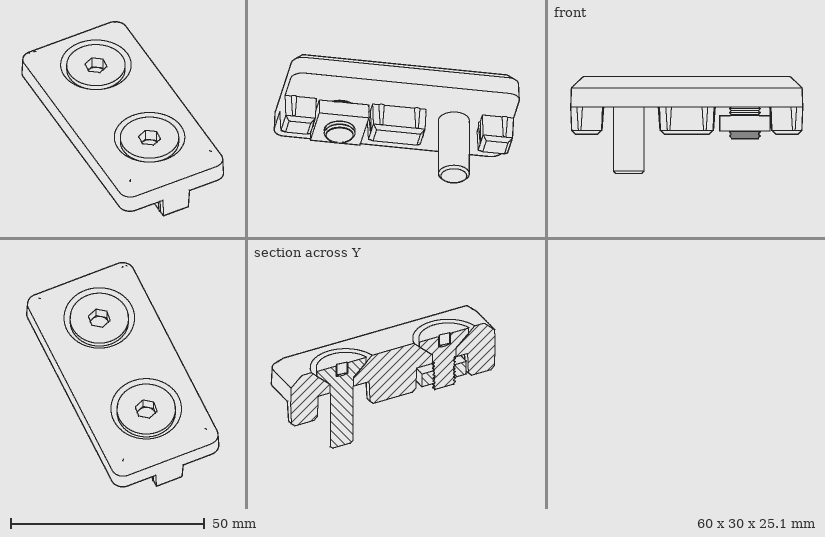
import cadquery as cq
import math

PLATE_LENGTH = 60.0
PLATE_WIDTH = 30.0
PLATE_HEIGHT = 8.0
PLATE_DRAFT = 2.0
CORNER_RADIUS = 3.1
TOP_CHAMFER = 3.0
TOP_EDGE_RADIUS = 1.0

SCREW_SPACING = 30.0
SHANK_DIAMETER = 8.0
COUNTERSINK_RADIUS = 9.1
HEAD_RADIUS = 7.55
HEAD_RECESS = 0.1
LONG_SCREW_LENGTH = 25.0
SHORT_SCREW_LENGTH = 16.0
TIP_CHAMFER = 0.65
HEX_SIDES = 6
HEX_ACROSS_FLATS = 5.0
HEX_DEPTH = 3.25
HEX_TURN = -6.5
DRILL_POINT_ANGLE = 120.0

THREAD_LENGTH = 8.05
THREAD_DEPTH = 0.5
THREAD_RIDGES = 8
THREAD_TIP_LENGTH = 0.25

NUT_SIDE = 13.0
NUT_HEIGHT = 4.0
NUT_TOP_Z = -2.15

TAB_WIDTH = 7.75
TAB_HEIGHT = 7.0
TAB_CHAMFER = 1.0
TAB_DRAFT_INSET = 0.25
MIDDLE_TAB_LENGTH = 14.05
END_TAB_LENGTH = 8.2

RIB_TOP_RADIUS = 0.9
RIB_BOTTOM_RADIUS = 0.45
RIB_AXIS_INSET = 0.55
RIB_END_DISTANCE = 2.35

SCREW_X = SCREW_SPACING / 2
SHANK_RADIUS = SHANK_DIAMETER / 2
THREAD_PITCH = THREAD_LENGTH / THREAD_RIDGES
HEAD_TOP_Z = PLATE_HEIGHT - HEAD_RECESS
SEAT_RADIUS_AT_HEAD_TOP = COUNTERSINK_RADIUS - HEAD_RECESS
HEAD_EDGE_Z = HEAD_TOP_Z - (SEAT_RADIUS_AT_HEAD_TOP - HEAD_RADIUS)
NECK_Z = PLATE_HEIGHT - (COUNTERSINK_RADIUS - SHANK_RADIUS)
TAB_STRAIGHT_HEIGHT = TAB_HEIGHT - TAB_CHAMFER


def revolve_profile(points):
    """Solid of revolution about Z from (radius, z) points."""
    return cq.Workplane("XZ").polyline(points).close().revolve(360, (0, 0, 0), (0, 1, 0))


def make_plate_block():
    """Drafted block with round corners, a wide top chamfer and mitred top edge rounds."""
    block = (
        cq.Workplane("XY")
        .rect(PLATE_LENGTH, PLATE_WIDTH)
        .extrude(PLATE_HEIGHT, taper=PLATE_DRAFT)
        .edges("not (#Z)")
        .fillet(CORNER_RADIUS)
        .faces(">Z")
        .edges()
        .chamfer(TOP_CHAMFER)
    )
    draft_inset = PLATE_HEIGHT * math.tan(math.radians(PLATE_DRAFT))
    top_inset = draft_inset + TOP_CHAMFER
    roof_angle = 45 + PLATE_DRAFT / 2
    roof_inset = top_inset - PLATE_HEIGHT * math.tan(math.radians(roof_angle))
    roof = (
        cq.Workplane("XY")
        .rect(PLATE_LENGTH - 2 * roof_inset, PLATE_WIDTH - 2 * roof_inset)
        .extrude(PLATE_HEIGHT, taper=roof_angle)
        .faces(">Z")
        .edges()
        .fillet(TOP_EDGE_RADIUS)
    )
    return block.intersect(roof)


def make_rib(x, y):
    """Upright tapered rib, narrowing downwards from the underside of the plate."""
    rib = cq.Solid.makeCone(
        RIB_TOP_RADIUS, RIB_BOTTOM_RADIUS, TAB_STRAIGHT_HEIGHT, cq.Vector(x, y, 0), cq.Vector(0, 0, -1)
    )
    return cq.Workplane(rib)


def make_tab(center_x, length):
    """Drafted tab with a chamfered lower end."""
    bottom_length = length - 2 * TAB_DRAFT_INSET
    bottom_width = TAB_WIDTH - 2 * TAB_DRAFT_INSET
    upper = (
        cq.Workplane("XY")
        .center(center_x, 0)
        .rect(length, TAB_WIDTH)
        .workplane(offset=-TAB_STRAIGHT_HEIGHT)
        .rect(bottom_length, bottom_width)
        .loft(ruled=True)
    )
    lower = (
        cq.Workplane("XY")
        .workplane(offset=-TAB_STRAIGHT_HEIGHT)
        .center(center_x, 0)
        .rect(bottom_length, bottom_width)
        .workplane(offset=-TAB_CHAMFER)
        .rect(bottom_length - 2 * TAB_CHAMFER, bottom_width - 2 * TAB_CHAMFER)
        .loft(ruled=True)
    )
    return upper.union(lower)


def make_middle_tab():
    """Centre tab with one rib on each end and two on each side."""
    tab = make_tab(0, MIDDLE_TAB_LENGTH)
    half_length = MIDDLE_TAB_LENGTH / 2
    side_rib_x = half_length - RIB_END_DISTANCE
    side_rib_y = TAB_WIDTH / 2 - RIB_AXIS_INSET
    for side in (-1, 1):
        tab = tab.union(make_rib(side * (half_length - RIB_AXIS_INSET), 0))
        for rib_x in (-side_rib_x, side_rib_x):
            tab = tab.union(make_rib(rib_x, side * side_rib_y))
    return tab


def make_end_tab(end):
    """Tab flush with one end of the plate; end is -1 or 1."""
    outer_x = PLATE_LENGTH / 2
    inner_x = outer_x - END_TAB_LENGTH
    tab = make_tab(end * (outer_x + inner_x) / 2, END_TAB_LENGTH)
    tab = tab.union(make_rib(end * (inner_x + RIB_AXIS_INSET), 0))
    side_rib_y = TAB_WIDTH / 2 - RIB_AXIS_INSET
    for rib_y in (-side_rib_y, side_rib_y):
        tab = tab.union(make_rib(end * (outer_x - RIB_END_DISTANCE), rib_y))
    return tab


def make_screw_hole(x):
    """Cutter for a through hole with a 90 degree countersink."""
    cutter = revolve_profile(
        [
            (0, 0),
            (SHANK_RADIUS, 0),
            (SHANK_RADIUS, NECK_Z),
            (COUNTERSINK_RADIUS, PLATE_HEIGHT),
            (0, PLATE_HEIGHT),
        ]
    )
    return cutter.translate((x, 0, 0))


def make_plate():
    """Plate with its three tabs and two screw holes."""
    plate = make_plate_block().union(make_middle_tab())
    for end in (-1, 1):
        plate = plate.union(make_end_tab(end))
        plate = plate.cut(make_screw_hole(end * SCREW_X))
    return plate


def make_hex_socket():
    """Cutter for the hexagon socket with its conical drill point."""
    flat_radius = HEX_ACROSS_FLATS / 2
    point_depth = flat_radius / math.tan(math.radians(DRILL_POINT_ANGLE / 2))
    socket_floor_z = HEAD_TOP_Z - HEX_DEPTH
    corner_diameter = HEX_ACROSS_FLATS / math.cos(math.pi / HEX_SIDES)
    hexagon = (
        cq.Workplane("XY")
        .workplane(offset=socket_floor_z)
        .transformed(rotate=(0, 0, HEX_TURN))
        .polygon(HEX_SIDES, corner_diameter)
        .extrude(HEX_DEPTH)
    )
    drill_point = revolve_profile(
        [
            (0, socket_floor_z),
            (flat_radius, socket_floor_z),
            (0, socket_floor_z - point_depth),
        ]
    )
    return hexagon.union(drill_point)


def make_screw(x, shank_points):
    """Countersunk screw; shank_points run from the tip up to the neck under the head."""
    head_points = [
        (SHANK_RADIUS, NECK_Z),
        (HEAD_RADIUS, HEAD_EDGE_Z),
        (HEAD_RADIUS, HEAD_TOP_Z),
        (0, HEAD_TOP_Z),
    ]
    screw = revolve_profile(shank_points + head_points).cut(make_hex_socket())
    return screw.translate((x, 0, 0))


def make_long_screw():
    """Plain-shanked screw with a chamfered tip."""
    tip_z = HEAD_TOP_Z - LONG_SCREW_LENGTH
    shank_points = [
        (0, tip_z),
        (SHANK_RADIUS - TIP_CHAMFER, tip_z),
        (SHANK_RADIUS, tip_z + TIP_CHAMFER),
    ]
    return make_screw(-SCREW_X, shank_points)


def make_short_screw():
    """Short screw whose thread is a stack of ring-shaped ridges."""
    tip_z = HEAD_TOP_Z - SHORT_SCREW_LENGTH
    root_radius = SHANK_RADIUS - THREAD_DEPTH
    thread_start_z = tip_z + THREAD_TIP_LENGTH
    shank_points = [
        (0, tip_z),
        (root_radius, tip_z),
    ]
    for ridge in range(THREAD_RIDGES):
        ridge_z = thread_start_z + ridge * THREAD_PITCH
        shank_points.append((root_radius, ridge_z))
        shank_points.append((SHANK_RADIUS, ridge_z + THREAD_PITCH / 2))
    thread_end_z = thread_start_z + THREAD_LENGTH
    shank_points.append((root_radius, thread_end_z))
    shank_points.append((SHANK_RADIUS, thread_end_z))
    return make_screw(SCREW_X, shank_points)


def make_nut(screw):
    """Square nut whose bore matches the thread of the screw."""
    block = (
        cq.Workplane("XY")
        .workplane(offset=NUT_TOP_Z)
        .center(SCREW_X, 0)
        .rect(NUT_SIDE, NUT_SIDE)
        .extrude(-NUT_HEIGHT)
    )
    return block.cut(screw)


plate = make_plate()
long_screw = make_long_screw()
short_screw = make_short_screw()
nut = make_nut(short_screw)

result = cq.Compound.makeCompound([plate.val(), long_screw.val(), short_screw.val(), nut.val()])